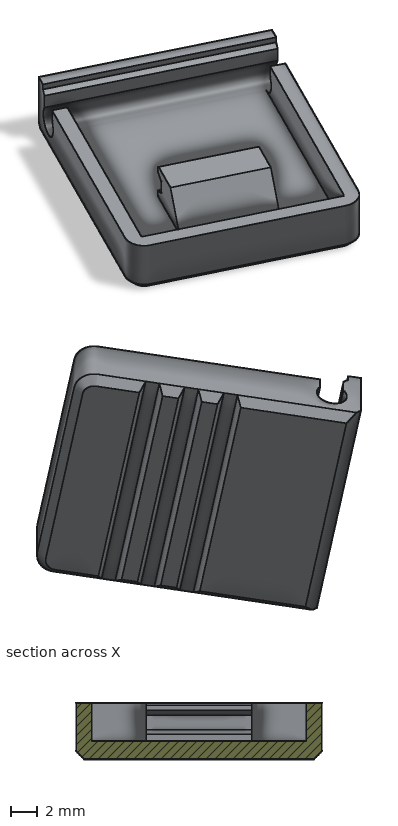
import cadquery as cq

length = 21.6
width = 18.5
height = 5.2
rim_height = 4.25

wall = 1.2
corner_radius = 1.51
cavity_corner_radius = 0.13
bottom_chamfer = 0.65
hook_chamfer = 1.0

channel_x = 2.22
channel_z = 2.55
channel_radius = 1.15
channel_mouth = 1.77
floor_z = channel_z - channel_radius

hook_top_thickness = 1.0
hook_step_top = 4.73
hook_step = channel_x - channel_mouth / 2 - hook_top_thickness

groove_count = 3
groove_pitch = 2.98
middle_groove_x = 12.92
groove_mouth = 1.77
groove_root = 1.04
groove_depth = bottom_chamfer

catch_width = 7.95
catch_front = 12.2
catch_top_end = 15.2
catch_foot_end = 17.24
catch_notch_depth = 0.82
catch_toe_height = 0.5
catch_notch_bottom = 0.82
catch_notch_top = 1.9
catch_lip_bottom = 2.31
catch_chamfer_width = 0.24
catch_chamfer_height = 0.2
catch_height = rim_height - floor_z


def prism(points, depth):
    """Extrude an XZ outline along Y, centred on the plane of symmetry."""
    return cq.Workplane("XZ").polyline(points).close().extrude(depth / 2, both=True)


def make_body():
    body = cq.Workplane("XY").box(length, width, height, centered=(False, True, False))
    body = body.edges("|Z and >X").fillet(corner_radius)
    body = body.faces("<Z").edges().chamfer(bottom_chamfer)
    hook_corner = prism([(0, 0), (hook_chamfer, 0), (0, hook_chamfer)], width)
    return body.cut(hook_corner)


def make_opening():
    """Space above the rim, joined to the channel mouth and the hook step."""
    mouth_left = channel_x - channel_mouth / 2
    mouth_right = channel_x + channel_mouth / 2
    return prism(
        [
            (mouth_left, channel_z),
            (mouth_right, channel_z),
            (mouth_right, rim_height),
            (length, rim_height),
            (length, height),
            (hook_top_thickness, height),
            (hook_top_thickness, hook_step_top),
            (mouth_left, hook_step_top - hook_step),
        ],
        width,
    )


def make_channel():
    circle = cq.Workplane("XZ").center(channel_x, channel_z).circle(channel_radius)
    return circle.extrude(width / 2, both=True)


def make_cavity():
    """Pocket whose floor runs tangent into the bottom of the channel."""
    cavity = cq.Workplane("XY").box(
        length - wall - channel_x,
        width - 2 * wall,
        height - floor_z,
        centered=(False, True, False),
    )
    cavity = cavity.edges("|Z and >X").fillet(cavity_corner_radius)
    return cavity.translate((channel_x, 0, floor_z))


def make_groove(x):
    return prism(
        [
            (x - groove_mouth / 2, 0),
            (x + groove_mouth / 2, 0),
            (x + groove_root / 2, groove_depth),
            (x - groove_root / 2, groove_depth),
        ],
        width,
    )


def make_catch():
    notch_x = catch_front + catch_notch_depth
    outline = [
        (catch_front, 0),
        (catch_front, catch_toe_height),
        (notch_x, catch_notch_bottom),
        (notch_x, catch_notch_top),
        (catch_front, catch_lip_bottom),
        (catch_front, catch_height - catch_chamfer_height),
        (catch_front + catch_chamfer_width, catch_height),
        (catch_top_end, catch_height),
        (catch_foot_end, 0),
    ]
    return prism(outline, catch_width).translate((0, 0, floor_z))


result = make_body().cut(make_opening()).cut(make_channel()).cut(make_cavity())

for index in range(groove_count):
    offset = (index - (groove_count - 1) / 2) * groove_pitch
    result = result.cut(make_groove(middle_groove_x + offset))

result = result.union(make_catch())